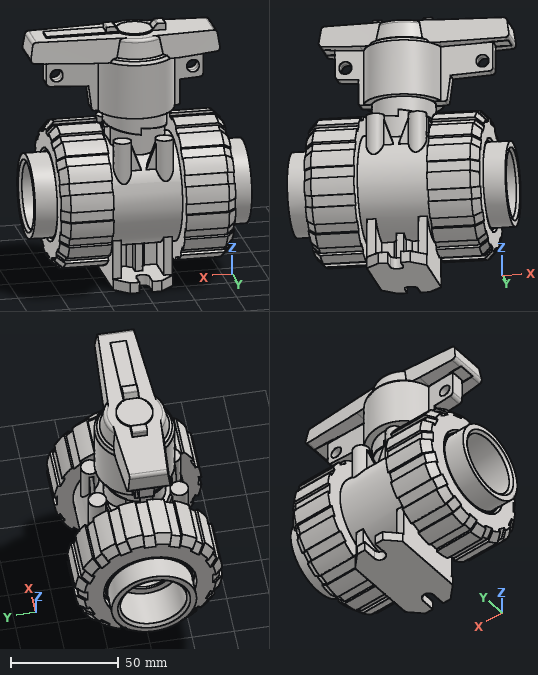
import cadquery as cq

EPS = 0.5

half_length = 51.75
bottom_z = -42.93
bore_radius = 12.25
barrel_radius = 26.0

nut_inner_x = 17.35
nut_outer_x = 41.6
nut_radius = 35.0
nut_chamfer = 3.8
nut_wall = 4.6
nut_clearance_radius = 22.0
groove_count = 16
groove_width = 5.4
groove_floor = 33.5

connector_radius = 20.15
shoulder_radius = 20.75
shoulder_inset = 0.8
flange_thickness = 6.0
socket_radius = 15.8
socket_depth = 19.6
socket_chamfer = 1.4
flange_outer_x = nut_outer_x - nut_wall
barrel_end_x = flange_outer_x - flange_thickness

collar_radius = 15.0
collar_top_z = 54.0
tooth_high_z = 34.8
tooth_low_z = 31.5
tooth_count = 4
neck_radius = 14.5
neck_flat_x = 13.0

post_x = 10.0
post_y = 19.4
post_radius = 4.25
post_top_z = 30.8
rib_thickness = 2.0
rib_reach = 4.5
rib_top_z = 28.4
rib_foot_z = 16.4
rib_angles = (0, 250)

foot_half_x = 14.25
foot_half_y = 25.25
foot_thickness = 5.3
foot_corner = 6.65
foot_slot_radius = 3.1
foot_slot_y = 18.2
cheek_inner_x = 10.1
cheek_half_y = 17.85
cross_rib_half_x = 1.8
cross_rib_half_y = 9.75
foot_boss_radius = 4.75
foot_web_half_y = 2.0

hub_radius = 18.75
hub_bottom_z = 41.0
hub_rim_z = 67.3
hub_crease_radius, hub_crease_z = 17.6, 68.9
dome_base_z = 69.6
dome_base_radius = 16.3
dome_top_radius = 14.4
dome_round = 1.8
slot_width = 8.5
slot_top_z = 68.7
grip_top_z = 78.75
grip_end_z = 68.7
grip_mid_z = 67.3
grip_left_x, grip_right_x = -39.2, 52.0
grip_left_half_y, grip_mid_half_y, grip_right_half_y = 10.3, 13.0, 9.9
grip_end_draft = 1.7
grip_side_draft = 1.35
grip_top_round = 1.8
grip_bottom_round = 1.8
cap_radius = 8.6
cap_top_z = 79.5
strip_half_y = 3.75
strip_end_x = 42.85

web_width = 7.0
web_left_x, web_right_x = -32.1, 42.85
web_left_corner_z, web_right_corner_z = 54.2, 54.6
web_corner_round = 1.8
web_step_left_x, web_step_left_z = -21.05, 53.5
web_step_right_x, web_step_right_z = 22.7, 53.4
web_foot_right_x = 21.05
web_foot_round = 1.2
web_hole_radius = 2.95
web_hole_z = 59.7
web_hole_xs = (-27.2, 37.85)
prong_width = 7.2
prong_outer_x = 14.25
prong_flat_x = 10.1
prong_foot_x = 8.0
prong_top_z = 82.0
prong_round = 0.5


def cylinder_z(radius, z_low, z_high):
    return cq.Workplane("XY").workplane(offset=z_low).circle(radius).extrude(z_high - z_low)


def block(x_low, x_high, half_y, z_low, z_high):
    box = cq.Workplane("XY").box(x_high - x_low, 2 * half_y, z_high - z_low, centered=(False, True, False))
    return box.translate((x_low, 0, z_low))


def slab_xz(points, width):
    """Extrude an XZ outline symmetrically about Y = 0."""
    return cq.Workplane("XZ").polyline(points).close().extrude(width / 2, both=True)


def make_nut():
    profile = [
        (nut_inner_x, barrel_radius),
        (nut_inner_x, nut_radius),
        (nut_outer_x - nut_chamfer, nut_radius),
        (nut_outer_x, nut_radius - nut_chamfer),
        (nut_outer_x, nut_clearance_radius),
        (flange_outer_x, nut_clearance_radius),
        (flange_outer_x, barrel_radius),
    ]
    nut = cq.Workplane("XZ").polyline(profile).close().revolve(360, (0, 0), (1, 0))
    groove = slab_xz(
        [
            (nut_inner_x - EPS, groove_floor),
            (nut_outer_x - nut_chamfer, groove_floor),
            (nut_outer_x, groove_floor - nut_chamfer),
            (nut_outer_x + EPS, groove_floor - nut_chamfer),
            (nut_outer_x + EPS, nut_radius + EPS),
            (nut_inner_x - EPS, nut_radius + EPS),
        ],
        groove_width,
    )
    for index in range(groove_count):
        nut = nut.cut(groove.rotate((0, 0, 0), (1, 0, 0), index * 360 / groove_count))
    return nut


def make_connector():
    profile = [
        (barrel_end_x, bore_radius),
        (barrel_end_x, barrel_radius),
        (flange_outer_x, barrel_radius),
        (flange_outer_x, shoulder_radius),
        (nut_outer_x - shoulder_inset, shoulder_radius),
        (nut_outer_x - shoulder_inset, connector_radius),
        (half_length, connector_radius),
        (half_length, socket_radius + socket_chamfer),
        (half_length - socket_chamfer, socket_radius),
        (half_length - socket_depth, socket_radius),
        (half_length - socket_depth, bore_radius),
    ]
    return cq.Workplane("XZ").polyline(profile).close().revolve(360, (0, 0), (1, 0))


def make_collar():
    """Stem collar whose lower rim carries helical saw teeth."""
    collar = cylinder_z(collar_radius, tooth_low_z, collar_top_z)
    rise = tooth_high_z - tooth_low_z
    path_radius = collar_radius - EPS
    path = cq.Wire.makeHelix(rise * tooth_count, rise, path_radius, lefthand=True)
    ramp_width = 2 * (collar_radius - neck_flat_x)
    ramp = (
        cq.Workplane("XZ")
        .center(path_radius, -rise)
        .rect(ramp_width, 2 * rise)
        .sweep(cq.Workplane(path), isFrenet=True)
        .translate((0, 0, tooth_low_z))
    )
    for index in range(tooth_count):
        collar = collar.cut(ramp.rotate((0, 0, 0), (0, 0, 1), index * 360 / tooth_count))
    return collar


def make_neck():
    neck = cylinder_z(neck_radius, 0, tooth_high_z)
    return neck.intersect(block(-neck_flat_x, neck_flat_x, neck_radius, 0, tooth_high_z))


def make_post():
    """Post at -X, +Y with its two triangular ribs."""
    post = cylinder_z(post_radius, 0, post_top_z)
    rib_end = post_radius + rib_reach
    rib = slab_xz(
        [(0, 0), (rib_end, 0), (rib_end, rib_foot_z), (post_radius, rib_top_z), (0, rib_top_z)],
        rib_thickness,
    )
    for angle in rib_angles:
        post = post.union(rib.rotate((0, 0, 0), (0, 0, 1), angle))
    return post.translate((-post_x, post_y, 0))


def make_foot():
    top_z = bottom_z + foot_thickness
    foot = block(-foot_half_x, foot_half_x, foot_half_y, bottom_z, top_z)
    foot = foot.edges("|Z").chamfer(foot_corner)
    for side in (-1, 1):
        slot_end = cylinder_z(foot_slot_radius, bottom_z - EPS, top_z + EPS)
        slot_length = foot_half_y + EPS - foot_slot_y
        slot_mouth = block(-foot_slot_radius, foot_slot_radius, slot_length / 2, bottom_z - EPS, top_z + EPS)
        foot = foot.cut(slot_end.translate((0, side * foot_slot_y, 0)))
        foot = foot.cut(slot_mouth.translate((0, side * (foot_slot_y + slot_length / 2), 0)))
    foot = foot.union(block(-foot_half_x, -cheek_inner_x, cheek_half_y, bottom_z, 0))
    foot = foot.union(block(cheek_inner_x, foot_half_x, cheek_half_y, bottom_z, 0))
    foot = foot.union(block(-foot_half_x, foot_half_x, foot_web_half_y, bottom_z, 0))
    foot = foot.union(block(-cross_rib_half_x, cross_rib_half_x, cross_rib_half_y, bottom_z, 0))
    return foot.union(cylinder_z(foot_boss_radius, bottom_z, 0))


def make_housing():
    housing = cq.Workplane("YZ").circle(barrel_radius).extrude(barrel_end_x, both=True)
    housing = housing.union(make_neck()).union(make_collar()).union(make_foot())
    post = make_post()
    far_posts = post.union(post.mirror("YZ"))
    housing = housing.union(far_posts).union(far_posts.mirror("XZ"))
    bore = cq.Workplane("YZ").circle(bore_radius).extrude(barrel_end_x, both=True)
    return housing.cut(bore)


def make_hub():
    """Turned hub with a double-bevelled rim and a conical dome."""
    profile = [
        (0, hub_bottom_z),
        (hub_radius, hub_bottom_z),
        (hub_radius, hub_rim_z),
        (hub_crease_radius, hub_crease_z),
        (dome_base_radius, dome_base_z),
        (dome_top_radius, grip_top_z),
        (0, grip_top_z),
    ]
    hub = cq.Workplane("XZ").polyline(profile).close().revolve(360, (0, 0), (0, 1))
    return hub.faces(">Z").edges().fillet(dome_round)


def grip_outline(plane_z, end_inset, side_inset):
    left_y = grip_left_half_y - side_inset
    mid_y = grip_mid_half_y - side_inset
    right_y = grip_right_half_y - side_inset
    left_x = grip_left_x + end_inset
    right_x = grip_right_x - end_inset
    points = [
        (left_x, -left_y),
        (0, -mid_y),
        (right_x, -right_y),
        (right_x, right_y),
        (0, mid_y),
        (left_x, left_y),
    ]
    return cq.Wire.makePolygon([cq.Vector(x, y, plane_z) for x, y in points], close=True)


def make_grip():
    lower = grip_outline(grip_mid_z, 0, 0)
    upper = grip_outline(grip_top_z, grip_end_draft, grip_side_draft)
    grip = cq.Workplane(cq.Solid.makeLoft([lower, upper], True))
    envelope = slab_xz(
        [
            (grip_left_x - EPS, grip_end_z),
            (-hub_radius, grip_mid_z),
            (hub_radius, grip_mid_z),
            (grip_right_x + EPS, grip_end_z),
            (grip_right_x + EPS, grip_top_z),
            (grip_left_x - EPS, grip_top_z),
        ],
        4 * grip_mid_half_y,
    )
    grip = grip.intersect(envelope)
    for end in ("<X", ">X"):
        grip = grip.faces(">Z").edges(end).fillet(grip_top_round)
        grip = grip.edges(end).fillet(grip_bottom_round)
    return grip


def make_web():
    """Plate hanging from the grip, pierced at both ends."""
    root_z = grip_end_z + EPS
    outline = [
        (web_left_x, root_z),
        (web_left_x, web_left_corner_z),
        (web_step_left_x, web_step_left_z),
        (web_step_left_x, hub_bottom_z),
        (web_foot_right_x, hub_bottom_z),
        (web_step_right_x, web_step_right_z),
        (web_right_x, web_right_corner_z),
        (web_right_x, root_z),
    ]
    web = slab_xz(outline, web_width)
    for end in ("<X", ">X"):
        web = web.faces(end).edges("<Z").fillet(web_corner_round)
    web = web.faces("<Z").edges("|Y").fillet(web_foot_round)
    holes = cq.Workplane("XZ").pushPoints([(x, web_hole_z) for x in web_hole_xs])
    return web.cut(holes.circle(web_hole_radius).extrude(web_width, both=True))


def make_prong():
    """Tab that rises beside the cap, bevelled towards it."""
    prong = slab_xz(
        [
            (prong_foot_x, grip_end_z + EPS),
            (prong_outer_x, grip_end_z + EPS),
            (prong_outer_x, prong_top_z),
            (prong_flat_x, prong_top_z),
            (prong_foot_x, cap_top_z),
        ],
        prong_width,
    )
    return prong.faces(">Z").edges("|Y").fillet(prong_round)


def make_handle():
    handle = make_hub().union(make_grip())
    slot = block(grip_left_x - EPS, grip_right_x + EPS, slot_width / 2, hub_bottom_z, slot_top_z)
    handle = handle.cut(slot)
    handle = handle.union(make_web())
    handle = handle.cut(cylinder_z(collar_radius, hub_bottom_z, collar_top_z))
    handle = handle.union(cylinder_z(cap_radius, grip_end_z + EPS, cap_top_z))
    handle = handle.union(block(prong_foot_x, strip_end_x, strip_half_y, grip_end_z + EPS, cap_top_z))
    prong = make_prong()
    return handle.union(prong).union(prong.mirror("YZ"))


housing = make_housing()
handle = make_handle()
nuts = [make_nut().rotate((0, 0, 0), (0, 0, 1), turn) for turn in (0, 180)]
connectors = [make_connector().rotate((0, 0, 0), (0, 0, 1), turn) for turn in (0, 180)]

bodies = [housing, handle] + nuts + connectors
result = cq.Compound.makeCompound([body.val() for body in bodies])